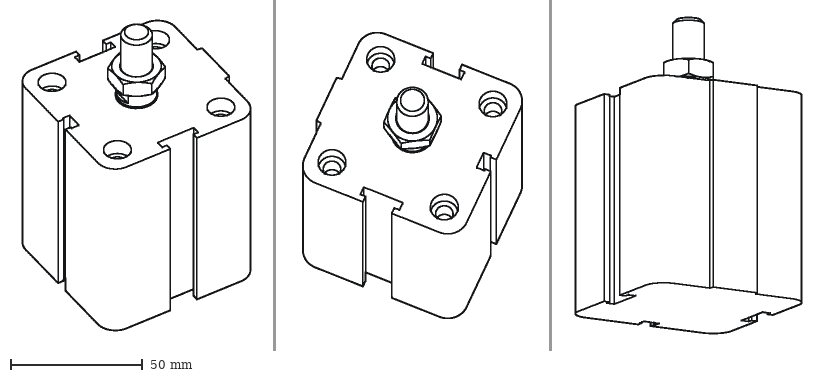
import cadquery as cq
import math

WIDTH = 67.0
HOUSING_HEIGHT = 80.6
CORNER_RADIUS = 7.8
ROD_BORE_DEPTH = 14.6

RIB_HEIGHT = 2.0
RIB_BASE_WIDTH = 19.9
RIB_TOP_WIDTH = 19.3

SIDE_SLOT_MOUTH = 11.9
SIDE_SLOT_CHAMBER = 16.1
SIDE_SLOT_LIP = 2.5
SIDE_SLOT_DEPTH = 5.7
FRONT_SLOT_MOUTH = 5.3
FRONT_SLOT_CHAMBER = 6.7
FRONT_SLOT_LIP = 2.5
FRONT_SLOT_DEPTH = 5.6

HOLE_SPACING = 46.4
COUNTERBORE_DIAMETER = 10.5
COUNTERBORE_DEPTH = 6.4
HOLE_DIAMETER = 6.6
HOLE_DEPTH = ROD_BORE_DEPTH

TOTAL_HEIGHT = 112.0
SHANK_DIAMETER = 16.0
SHANK_PROJECTION = 0.6
NECK_DIAMETER = 15.6
SHANK_CHAMFER = (SHANK_DIAMETER - NECK_DIAMETER) / 2
NECK_CHAMFER = 0.5
FLAT_START = 1.8
ACROSS_FLATS = 13.0
THREAD_DIAMETER = 12.0
THREAD_CHAMFER = 1.5

NUT_BOTTOM = 87.9
NUT_HEIGHT = 7.0
NUT_ACROSS_FLATS = 18.9
NUT_ACROSS_CORNERS = NUT_ACROSS_FLATS / math.cos(math.pi / 6)
NUT_FACE_DIAMETER = 18.8
NUT_CHAMFER_ANGLE = 30.0
NUT_COUNTERSINK = 0.3


def make_rib():
    """Trapezoidal rib on the +Y side, over the full height of the housing."""
    base = WIDTH / 2
    top = base + RIB_HEIGHT
    outline = [
        (-RIB_BASE_WIDTH / 2, 0),
        (-RIB_BASE_WIDTH / 2, base),
        (-RIB_TOP_WIDTH / 2, top),
        (RIB_TOP_WIDTH / 2, top),
        (RIB_BASE_WIDTH / 2, base),
        (RIB_BASE_WIDTH / 2, 0),
    ]
    return cq.Workplane("XY").polyline(outline).close().extrude(HOUSING_HEIGHT)


def make_t_slot(mouth, chamber, lip, depth, angle):
    """T-slot cutter in the +X side, turned about Z by the given angle."""
    surface = WIDTH / 2
    chamber_length = depth - lip
    mouth_box = cq.Workplane("XY").box(depth, mouth, HOUSING_HEIGHT, centered=(False, True, False))
    chamber_box = cq.Workplane("XY").box(
        chamber_length, chamber, HOUSING_HEIGHT, centered=(False, True, False)
    )
    slot = mouth_box.union(chamber_box).translate((surface - depth, 0, 0))
    return slot.rotate((0, 0, 0), (0, 0, 1), angle)


def make_housing():
    """Rounded square block with a rib, three T-slots, corner holes and a rod bore."""
    block = cq.Workplane("XY").rect(WIDTH, WIDTH).extrude(HOUSING_HEIGHT)
    block = block.edges("|Z").fillet(CORNER_RADIUS)
    block = block.union(make_rib())

    for angle in (0, 180):
        block = block.cut(
            make_t_slot(SIDE_SLOT_MOUTH, SIDE_SLOT_CHAMBER, SIDE_SLOT_LIP, SIDE_SLOT_DEPTH, angle)
        )
    block = block.cut(
        make_t_slot(FRONT_SLOT_MOUTH, FRONT_SLOT_CHAMBER, FRONT_SLOT_LIP, FRONT_SLOT_DEPTH, -90)
    )

    top_face = cq.Workplane("XY").workplane(offset=HOUSING_HEIGHT)
    holes = top_face.rect(HOLE_SPACING, HOLE_SPACING, forConstruction=True).vertices()
    block = block.cut(holes.circle(COUNTERBORE_DIAMETER / 2).extrude(-COUNTERBORE_DEPTH))
    block = block.cut(holes.circle(HOLE_DIAMETER / 2).extrude(-HOLE_DEPTH))

    return block.cut(top_face.circle(SHANK_DIAMETER / 2).extrude(-ROD_BORE_DEPTH))


def make_rod():
    """Stepped rod from the bottom of its bore to the chamfered threaded end."""
    shank_bottom = HOUSING_HEIGHT - ROD_BORE_DEPTH
    shank_top = HOUSING_HEIGHT + SHANK_PROJECTION

    shank = (
        cq.Workplane("XY").workplane(offset=shank_bottom)
        .circle(SHANK_DIAMETER / 2).extrude(shank_top - shank_bottom)
        .faces(">Z").chamfer(SHANK_CHAMFER)
    )
    neck = (
        cq.Workplane("XY").workplane(offset=shank_top)
        .circle(NECK_DIAMETER / 2).extrude(NUT_BOTTOM - shank_top)
        .faces(">Z").chamfer(NECK_CHAMFER)
    )
    thread = (
        cq.Workplane("XY").workplane(offset=NUT_BOTTOM)
        .circle(THREAD_DIAMETER / 2).extrude(TOTAL_HEIGHT - NUT_BOTTOM)
        .faces(">Z").chamfer(THREAD_CHAMFER)
    )

    flat_bottom = HOUSING_HEIGHT + FLAT_START
    between_flats = cq.Workplane("XY").workplane(offset=flat_bottom).rect(NECK_DIAMETER, ACROSS_FLATS)
    flat_waste = (
        cq.Workplane("XY").workplane(offset=flat_bottom)
        .rect(NECK_DIAMETER, NECK_DIAMETER).extrude(NUT_BOTTOM - flat_bottom)
        .cut(between_flats.extrude(NUT_BOTTOM - flat_bottom))
    )
    return shank.union(neck.cut(flat_waste)).union(thread)


def make_nut():
    """Hexagonal nut with conically chamfered corners and a countersunk bore."""
    hexagon = cq.Workplane("XY").polygon(6, NUT_ACROSS_CORNERS).extrude(NUT_HEIGHT)

    face_radius = NUT_FACE_DIAMETER / 2
    corner_radius = NUT_ACROSS_CORNERS / 2
    corner_drop = (corner_radius - face_radius) * math.tan(math.radians(NUT_CHAMFER_ANGLE))
    profile = [
        (0, 0),
        (face_radius, 0),
        (corner_radius, corner_drop),
        (corner_radius, NUT_HEIGHT - corner_drop),
        (face_radius, NUT_HEIGHT),
        (0, NUT_HEIGHT),
    ]
    envelope = cq.Workplane("XZ").polyline(profile).close().revolve(360, (0, 0, 0), (0, 1, 0))

    nut = hexagon.intersect(envelope)
    nut = nut.cut(cq.Workplane("XY").circle(THREAD_DIAMETER / 2).extrude(NUT_HEIGHT))
    nut = nut.faces(">Z").edges(cq.selectors.RadiusNthSelector(0)).chamfer(NUT_COUNTERSINK)
    return nut.translate((0, 0, NUT_BOTTOM))


housing = make_housing()
rod = make_rod()
nut = make_nut()

result = cq.Compound.makeCompound([housing.val(), rod.val(), nut.val()])